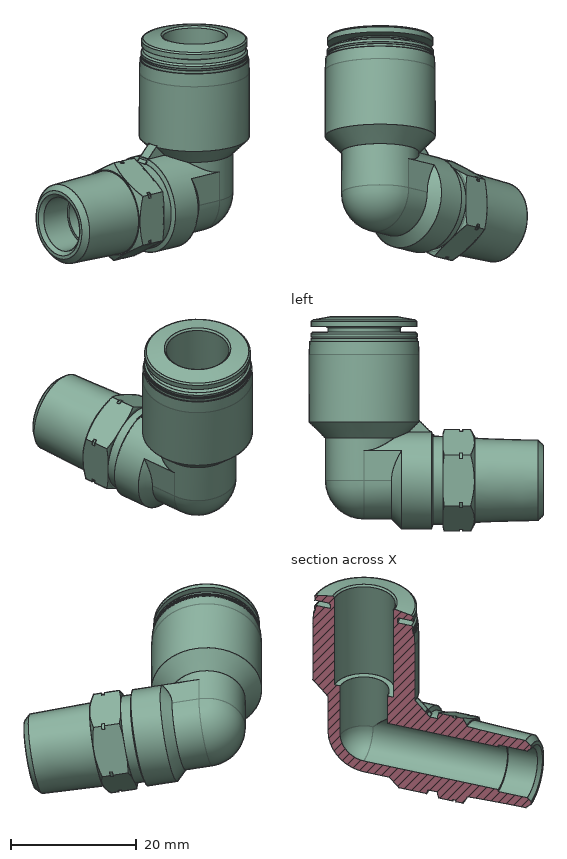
import cadquery as cq
import math

bend_radius = 6.15
flow_radius = 8.0 / 2

socket_top = 26.0
rim_edge_top = 25.48
rim_edge_bottom = 24.4
neck_top = 24.18
cap_top = 23.55
cap_bottom = 22.05
taper_bottom = 19.95
shoulder = 9.28
cone_bottom = 6.7
rim_radius = 16.8 / 2
rim_chamfer = 0.25
rim_underside_radius = 6.0
neck_radius = 11.5 / 2
cap_radius = 16.9 / 2
cap_chamfer = 0.3
cap_groove_top = 22.8
cap_groove_bottom = 22.5
cap_groove_depth = 0.15
socket_radius = 17.5 / 2
socket_top_radius = 8.65
tube_radius = 10.0 / 2
tube_mouth_radius = 5.3
tube_mouth_chamfer = 0.3

branch_cone_start = 4.35
branch_radius = 15.5 / 2
branch_cone_end = branch_cone_start + branch_radius - bend_radius
branch_end = 10.95
branch_end_taper = 0.25
collar_radius = 14.0 / 2
hex_start = 12.5
hex_end = 17.6
hex_sides = 6
hex_flats = 14.0
hex_corner_radius = hex_flats / 2 / math.cos(math.pi / hex_sides)
hex_rear_radius = 7.35
hex_rear_chamfer = 0.22
hex_front_radius = 6.9
hex_front_chamfer = 0.67
hex_groove_start = 15.15
hex_groove_width = 0.5
hex_groove_radius = 7.82
thread_end = 28.5
thread_root_radius = 6.7
thread_tip_radius = 6.4
thread_chamfer_length = 0.9
thread_face_radius = 5.55
branch_bore_radius = 8.75 / 2
branch_mouth_radius = 10.0 / 2
branch_bore_depth = 5.6

rib_width = 1.95
rib_overlap = 0.22
rib_top = 9.72
rib_slope_start = socket_radius - rib_overlap
rib_end = rib_slope_start + rib_top - collar_radius


def revolve_z(points):
    """Solid of revolution about Z from (radius, height) points."""
    return cq.Workplane("XZ").polyline(points).close().revolve(360, (0, 0), (0, 1))


def revolve_branch(points):
    """Solid of revolution about Y from (radius, distance along -Y) points."""
    profile = [(radius, -distance) for radius, distance in points]
    return cq.Workplane("XY").polyline(profile).close().revolve(360, (0, 0), (0, 1))


def branch_cylinder(radius, start, end):
    return revolve_branch([(0, start), (radius, start), (radius, end), (0, end)])


def make_socket():
    groove_radius = cap_radius - cap_groove_depth
    return revolve_z([
        (0, 0),
        (bend_radius, 0),
        (bend_radius, cone_bottom),
        (socket_radius, shoulder),
        (socket_radius, taper_bottom),
        (socket_top_radius, cap_bottom),
        (cap_radius, cap_bottom),
        (cap_radius, cap_groove_bottom),
        (groove_radius, cap_groove_bottom),
        (groove_radius, cap_groove_top),
        (cap_radius, cap_groove_top),
        (cap_radius, cap_top - cap_chamfer),
        (cap_radius - cap_chamfer, cap_top),
        (neck_radius, cap_top),
        (neck_radius, neck_top),
        (rim_underside_radius, rim_edge_bottom),
        (rim_radius, rim_edge_bottom),
        (rim_radius, rim_edge_top - rim_chamfer),
        (rim_radius - rim_chamfer, rim_edge_top),
        (tube_mouth_radius, socket_top),
        (0, socket_top),
    ])


def make_branch():
    """Round branch whose upper half near the bend keeps flat cheeks."""
    body = revolve_branch([
        (0, 0),
        (bend_radius, 0),
        (bend_radius, branch_cone_start),
        (branch_radius, branch_cone_end),
        (branch_radius, branch_end - branch_end_taper),
        (collar_radius, branch_end),
        (collar_radius, hex_start),
        (thread_root_radius, hex_start),
        (thread_root_radius, hex_end),
        (thread_tip_radius, thread_end - thread_chamfer_length),
        (thread_face_radius, thread_end),
        (0, thread_end),
    ])
    cheeks = cq.Workplane("XY").box(
        2 * bend_radius, branch_cone_end, branch_radius, centered=(True, False, False)
    ).translate((0, -branch_cone_end, 0))
    return body.union(cheeks.intersect(branch_cylinder(branch_radius, 0, branch_cone_end)))


def make_hex():
    prism = (
        cq.Workplane("XZ")
        .workplane(offset=hex_start)
        .polygon(hex_sides, 2 * hex_corner_radius)
        .extrude(hex_end - hex_start)
        .rotate((0, 0, 0), (0, 1, 0), 180 / hex_sides)
    )
    groove_end = hex_groove_start + hex_groove_width
    envelope = revolve_branch([
        (0, hex_start),
        (hex_rear_radius, hex_start),
        (hex_corner_radius, hex_start + hex_rear_chamfer),
        (hex_corner_radius, hex_groove_start),
        (hex_groove_radius, hex_groove_start),
        (hex_groove_radius, groove_end),
        (hex_corner_radius, groove_end),
        (hex_corner_radius, hex_end - hex_front_chamfer),
        (hex_front_radius, hex_end),
        (0, hex_end),
    ])
    return prism.intersect(envelope)


def make_rib():
    return (
        cq.Workplane("YZ")
        .polyline([
            (-bend_radius, bend_radius),
            (-bend_radius, rib_top),
            (-rib_slope_start, rib_top),
            (-rib_end, collar_radius),
            (-rib_end, bend_radius),
        ])
        .close()
        .extrude(rib_width / 2, both=True)
    )


def make_passage():
    tube_bore = revolve_z([
        (0, 0),
        (flow_radius, 0),
        (flow_radius, shoulder),
        (tube_radius, shoulder),
        (tube_radius, socket_top - tube_mouth_chamfer),
        (tube_mouth_radius, socket_top),
        (0, socket_top),
    ])
    step = thread_end - branch_bore_depth
    mouth_start = thread_end - (branch_mouth_radius - branch_bore_radius)
    branch_bore = revolve_branch([
        (0, 0),
        (flow_radius, 0),
        (flow_radius, step),
        (branch_bore_radius, step),
        (branch_bore_radius, mouth_start),
        (branch_mouth_radius, thread_end),
        (0, thread_end),
    ])
    return tube_bore.union(branch_bore).union(cq.Workplane("XY").sphere(flow_radius))


outer_bend = cq.Workplane("XY").sphere(bend_radius)
result = (
    make_socket()
    .union(outer_bend)
    .union(make_branch())
    .union(make_hex())
    .union(make_rib())
    .cut(make_passage())
)